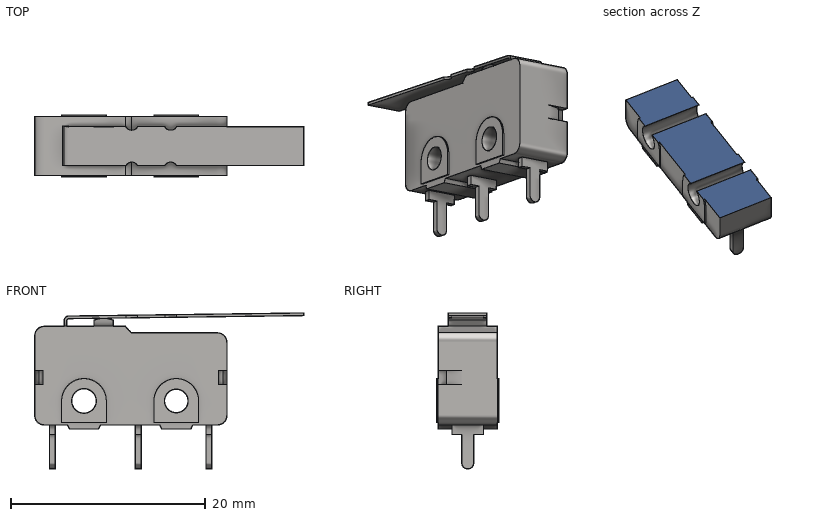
import cadquery as cq
import math


HOUSING_LENGTH = 19.8
HOUSING_THICKNESS = 6.1
HOUSING_HEIGHT = 10.17
HOUSING_STEP_HEIGHT = 9.5
STEP_TOP_X = 9.33
STEP_BOTTOM_X = 9.96
HOUSING_CORNER_RADIUS = 1.0
FRONT_Y = -HOUSING_THICKNESS / 2

HOLE_Z = 2.48
LEFT_HOLE_X = 5.08
HOLE_PITCH = 9.5
RIGHT_HOLE_X = LEFT_HOLE_X + HOLE_PITCH
LEFT_HOLE_DIAMETER = 2.5
RIGHT_HOLE_DIAMETER = 2.4

PAD_WIDTH = 4.6
PAD_BOTTOM_Z = 0.25
OVERALL_THICKNESS = 6.4

FOOT_HEIGHT = 0.42
FOOT_TOP_LENGTH = 3.4
FOOT_BOTTOM_LENGTH = 3.0

NOTCH_BOTTOM_Z = 4.18
NOTCH_TOP_Z = 5.6
NOTCH_DEPTH = 0.86
NOTCH_WALL_Y = FRONT_Y + 0.85
HOOK_DEPTH = NOTCH_DEPTH / 2
HOOK_FLAT_LENGTH = 0.18
HOOK_SLOPE_LENGTH = 1.4

TERMINAL_CENTRES_X = (1.83, 10.67, 17.93)
TERMINAL_THICKNESS = 0.63
TERMINAL_SHOULDER_WIDTH = 3.25
TERMINAL_SHOULDER_LENGTH = 0.98
TERMINAL_STEM_WIDTH = 1.25
TERMINAL_LENGTH = 4.52

LEVER_THICKNESS = 0.3
LEVER_LEFT_X = 3.03
LEVER_END_X = 27.71
LEVER_END_Z = 11.55
LEVER_TILT = math.radians(0.75)
LEVER_BEND_RADIUS = 0.5
LEVER_WIDTH = 4.0
LEVER_FRONT_Y = -2.03
LEVER_BACK_Y = LEVER_FRONT_Y + LEVER_WIDTH

EDGE_NOTCH_CENTRES_X = (10.0, 14.0)
EDGE_NOTCH_LENGTH = 1.2
EDGE_NOTCH_DEPTH = 0.36

LEG_SLOT_CLEARANCE = 0.15
LEG_SLOT_BACK_CLEARANCE = 0.08
LEG_SLOT_DEPTH = 1.0

PLUNGER_CENTRE_X = 7.1
PLUNGER_LENGTH = 2.0
PLUNGER_SIDE_INSET = 0.05
PLUNGER_EDGE_Z = 10.8
PLUNGER_CROWN_Z = 11.0


def extrude_along_y(sketch, y_start, y_end):
    """Extrude an XZ outline from y_start to y_end."""
    return sketch.extrude(y_start - y_end).translate((0, y_start, 0))


def make_housing():
    outline = cq.Workplane("XZ").polyline([
        (0, 0),
        (HOUSING_LENGTH, 0),
        (HOUSING_LENGTH, HOUSING_STEP_HEIGHT),
        (STEP_BOTTOM_X, HOUSING_STEP_HEIGHT),
        (STEP_TOP_X, HOUSING_HEIGHT),
        (0, HOUSING_HEIGHT),
    ]).close()
    block = extrude_along_y(outline, FRONT_Y, -FRONT_Y)
    return block.edges("|Y and (<X or >X)").fillet(HOUSING_CORNER_RADIUS)


def make_foot(centre_x):
    half_top = FOOT_TOP_LENGTH / 2
    half_bottom = FOOT_BOTTOM_LENGTH / 2
    outline = cq.Workplane("XZ").polyline([
        (centre_x - half_top, 0),
        (centre_x - half_bottom, -FOOT_HEIGHT),
        (centre_x + half_bottom, -FOOT_HEIGHT),
        (centre_x + half_top, 0),
    ]).close()
    return extrude_along_y(outline, FRONT_Y, -FRONT_Y)


def make_pad(centre_x):
    """Arched pad through the housing, standing proud of both broad faces."""
    left = centre_x - PAD_WIDTH / 2
    right = centre_x + PAD_WIDTH / 2
    outline = (
        cq.Workplane("XZ")
        .moveTo(left, PAD_BOTTOM_Z)
        .lineTo(right, PAD_BOTTOM_Z)
        .lineTo(right, HOLE_Z)
        .threePointArc((centre_x, HOLE_Z + PAD_WIDTH / 2), (left, HOLE_Z))
        .close()
    )
    return extrude_along_y(outline, -OVERALL_THICKNESS / 2, OVERALL_THICKNESS / 2)


def make_hole(centre_x, diameter):
    outline = cq.Workplane("XZ").center(centre_x, HOLE_Z).circle(diameter / 2)
    return extrude_along_y(outline, -OVERALL_THICKNESS / 2, OVERALL_THICKNESS / 2)


def make_left_notch():
    """Latch notch whose rear part ramps out to the end face."""
    hook_y = NOTCH_WALL_Y + HOOK_FLAT_LENGTH
    outline = cq.Workplane("XY").polyline([
        (0, FRONT_Y),
        (NOTCH_DEPTH, FRONT_Y),
        (NOTCH_DEPTH, NOTCH_WALL_Y),
        (HOOK_DEPTH, NOTCH_WALL_Y),
        (HOOK_DEPTH, hook_y),
        (0, hook_y + HOOK_SLOPE_LENGTH),
    ]).close()
    return outline.extrude(NOTCH_TOP_Z - NOTCH_BOTTOM_Z).translate((0, 0, NOTCH_BOTTOM_Z))


def make_right_notch():
    return make_left_notch().mirror("YZ", (HOUSING_LENGTH / 2, 0, 0))


def make_terminal(centre_x):
    half_shoulder = TERMINAL_SHOULDER_WIDTH / 2
    half_stem = TERMINAL_STEM_WIDTH / 2
    round_start_z = half_stem - TERMINAL_LENGTH
    outline = (
        cq.Workplane("YZ")
        .moveTo(-half_shoulder, 0)
        .lineTo(-half_shoulder, -TERMINAL_SHOULDER_LENGTH)
        .lineTo(-half_stem, -TERMINAL_SHOULDER_LENGTH)
        .lineTo(-half_stem, round_start_z)
        .threePointArc((0, -TERMINAL_LENGTH), (half_stem, round_start_z))
        .lineTo(half_stem, -TERMINAL_SHOULDER_LENGTH)
        .lineTo(half_shoulder, -TERMINAL_SHOULDER_LENGTH)
        .lineTo(half_shoulder, 0)
        .close()
    )
    return outline.extrude(TERMINAL_THICKNESS).translate((centre_x - TERMINAL_THICKNESS / 2, 0, 0))


def make_leg_slot():
    length = LEVER_THICKNESS + 2 * LEG_SLOT_CLEARANCE
    width = LEVER_WIDTH + LEG_SLOT_BACK_CLEARANCE
    corner = (LEVER_LEFT_X - LEG_SLOT_CLEARANCE, LEVER_FRONT_Y, HOUSING_HEIGHT - LEG_SLOT_DEPTH)
    return cq.Workplane("XY").box(length, width, LEG_SLOT_DEPTH, centered=False).translate(corner)


def lever_top_z(x):
    return LEVER_END_Z - (LEVER_END_X - x) * math.tan(LEVER_TILT)


def make_edge_notch(centre_x, edge_y, inward):
    """Arc-shaped bite from a lever edge; inward is +1 or -1 along Y."""
    half = EDGE_NOTCH_LENGTH / 2
    outline = (
        cq.Workplane("XY")
        .moveTo(centre_x - half, edge_y)
        .threePointArc((centre_x, edge_y + inward * EDGE_NOTCH_DEPTH), (centre_x + half, edge_y))
        .close()
    )
    return outline.extrude(HOUSING_HEIGHT).translate((0, 0, HOUSING_HEIGHT))


def make_lever():
    leg_right_x = LEVER_LEFT_X + LEVER_THICKNESS
    leg_bottom_z = HOUSING_HEIGHT - LEG_SLOT_DEPTH
    outline = cq.Workplane("XZ").polyline([
        (LEVER_LEFT_X, leg_bottom_z),
        (leg_right_x, leg_bottom_z),
        (leg_right_x, lever_top_z(leg_right_x) - LEVER_THICKNESS),
        (LEVER_END_X, LEVER_END_Z - LEVER_THICKNESS),
        (LEVER_END_X, LEVER_END_Z),
        (LEVER_LEFT_X, lever_top_z(LEVER_LEFT_X)),
    ]).close()
    lever = extrude_along_y(outline, LEVER_FRONT_Y, LEVER_BACK_Y)

    middle_y = (LEVER_FRONT_Y + LEVER_BACK_Y) / 2
    outer_corner = (LEVER_LEFT_X, middle_y, lever_top_z(LEVER_LEFT_X))
    inner_corner = (leg_right_x, middle_y, lever_top_z(leg_right_x) - LEVER_THICKNESS)
    lever = lever.edges(cq.NearestToPointSelector(outer_corner)).fillet(LEVER_BEND_RADIUS)
    lever = lever.edges(cq.NearestToPointSelector(inner_corner)).fillet(LEVER_BEND_RADIUS - LEVER_THICKNESS)

    for centre_x in EDGE_NOTCH_CENTRES_X:
        lever = lever.cut(make_edge_notch(centre_x, LEVER_FRONT_Y, 1))
        lever = lever.cut(make_edge_notch(centre_x, LEVER_BACK_Y, -1))
    return lever


def make_plunger():
    left = PLUNGER_CENTRE_X - PLUNGER_LENGTH / 2
    right = PLUNGER_CENTRE_X + PLUNGER_LENGTH / 2
    outline = (
        cq.Workplane("XZ")
        .moveTo(left, HOUSING_HEIGHT)
        .lineTo(right, HOUSING_HEIGHT)
        .lineTo(right, PLUNGER_EDGE_Z)
        .threePointArc((PLUNGER_CENTRE_X, PLUNGER_CROWN_Z), (left, PLUNGER_EDGE_Z))
        .close()
    )
    return extrude_along_y(outline, LEVER_FRONT_Y + PLUNGER_SIDE_INSET, LEVER_BACK_Y - PLUNGER_SIDE_INSET)


result = make_housing()
for hole_x, hole_diameter in ((LEFT_HOLE_X, LEFT_HOLE_DIAMETER), (RIGHT_HOLE_X, RIGHT_HOLE_DIAMETER)):
    result = result.union(make_pad(hole_x)).union(make_foot(hole_x))
    result = result.cut(make_hole(hole_x, hole_diameter))
result = result.cut(make_left_notch()).cut(make_right_notch())
result = result.cut(make_leg_slot()).union(make_lever())
result = result.union(make_plunger())
for terminal_x in TERMINAL_CENTRES_X:
    result = result.union(make_terminal(terminal_x))